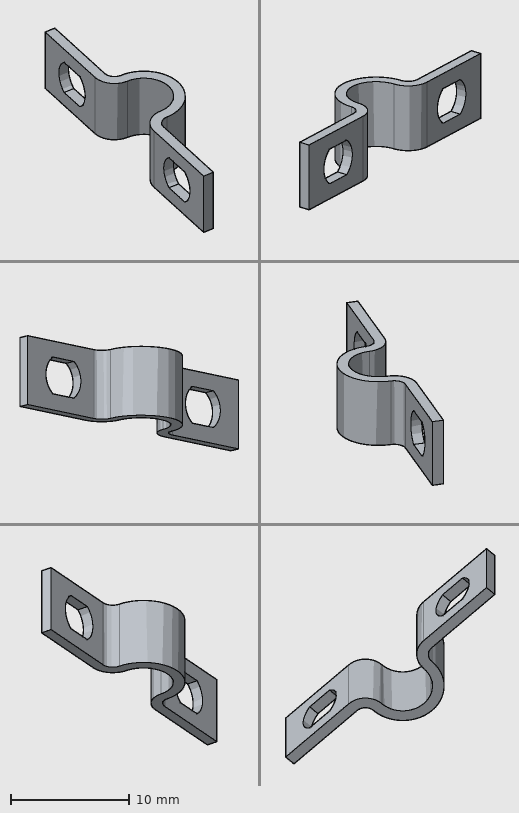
import cadquery as cq

length = 24.2
width = 6.0
thickness = 1.0

arch_outer_radius = 3.5
arch_inner_radius = arch_outer_radius - thickness
bend_inner_radius = thickness
bend_outer_radius = bend_inner_radius + thickness

hole_diameter = 4.0
hole_flat_height = 3.2
hole_spacing = 16.0

half_length = length / 2
bend_center_x = arch_outer_radius + bend_inner_radius
arch_center_y = bend_outer_radius


def make_strap():
    """Bent strip profile in the XY plane, extruded along Z."""
    return (
        cq.Workplane("XY")
        .workplane(offset=-width / 2)
        .moveTo(-half_length, 0)
        .lineTo(-bend_center_x, 0)
        .radiusArc((-arch_inner_radius, arch_center_y), -bend_outer_radius)
        .threePointArc((0, arch_center_y + arch_inner_radius), (arch_inner_radius, arch_center_y))
        .radiusArc((bend_center_x, 0), -bend_outer_radius)
        .lineTo(half_length, 0)
        .lineTo(half_length, thickness)
        .lineTo(bend_center_x, thickness)
        .radiusArc((arch_outer_radius, arch_center_y), bend_inner_radius)
        .threePointArc((0, arch_center_y + arch_outer_radius), (-arch_outer_radius, arch_center_y))
        .radiusArc((-bend_center_x, thickness), bend_inner_radius)
        .lineTo(-half_length, thickness)
        .close()
        .extrude(width)
    )


def make_hole_cutter(center_x):
    """Round cutter with flat top and bottom, passing through one tab along Y."""
    plane = cq.Workplane("XZ", origin=(center_x, thickness / 2, 0))
    cylinder = plane.circle(hole_diameter / 2).extrude(thickness, both=True)
    flats = plane.rect(hole_diameter, hole_flat_height).extrude(thickness, both=True)
    return cylinder.intersect(flats)


result = make_strap()
for side in (-1, 1):
    result = result.cut(make_hole_cutter(side * hole_spacing / 2))